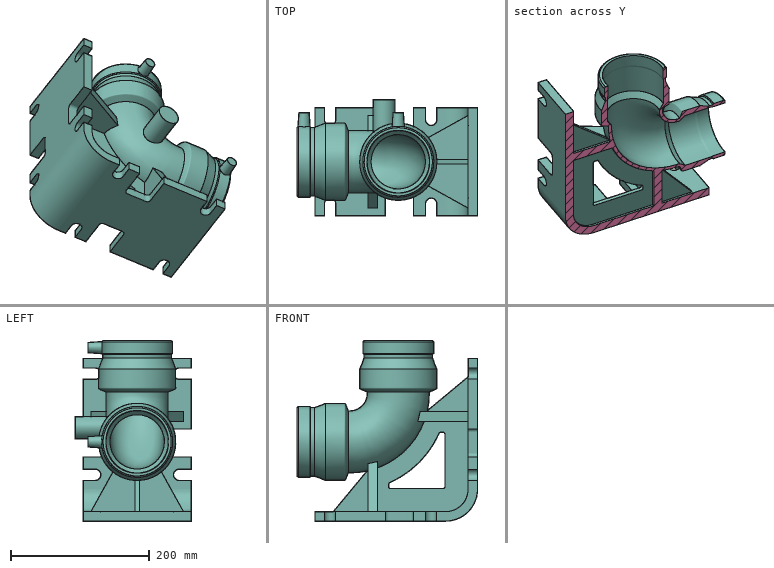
import cadquery as cq
import math

MIRROR_NORMAL = cq.Vector(1, 0, 1)

LEG_LENGTH = 235.8
FOOT_WIDTH = 157.0
PLATE = 14.0
BEND_RADIUS = 46.6
SLOT_WIDTH = 16.0
SLOT_DEPTH = 25.7
SLOT_DISTANCES = (67.3, 213.8)
NOTCH_NEAR = 93.3
NOTCH_FAR = 133.5
NOTCH_DEPTH = 44.0
NOTCH_FILLET = 5.0

OVERALL = 262.0
AXIS_HEIGHT = 115.0
ELBOW_RADIUS = 70.0
PIPE_DIAMETER = 90.0
BORE_DIAMETER = 78.5
ELBOW_CENTER = AXIS_HEIGHT + ELBOW_RADIUS
ELBOW_END = OVERALL - ELBOW_CENTER

LIP_DIAMETER = 103.0
LIP_CHAMFER = 2.0
LIP_LENGTH = 18.9
NECK_DIAMETER = 99.8
NECK_START = 20.2
NECK_END = 25.7
COLLAR_DIAMETER = 112.0
COLLAR_START = 41.5
COLLAR_END = 70.2
COLLAR_FILLET = 2.0
SOCKET_LENGTH = 74.7
MOUTH_DIAMETER = 90.0
MOUTH_DEPTH = LIP_LENGTH
THROAT_DIAMETER = 91.7
THROAT_START = 22.0
THROAT_END = 65.5

WEB_THICKNESS = 6.0
WEB_FOOT = 209.3
WEB_EDGE_RATIO = 0.83
WINDOW_MARGIN = 47.7
WINDOW_END = 128.6
WINDOW_ARC_RADIUS = 141.5
WINDOW_FILLET = 1.96
RIB_NEAR = 145.0
RIB_THICKNESS = 14.0
RIB_FOOT_WIDTH = 134.1
RIB_SIDE_ANGLE = 29.0

BOSS_DIAMETER = 32.0
BOSS_REACH = 89.9
NOZZLE_TIP_DIAMETER = 15.2
NOZZLE_ROOT_DIAMETER = 18.0
NOZZLE_REACH = 71.3
NOZZLE_TAPER_START = 49.8
NOZZLE_INSET = 10.5


def with_mirror(arm):
    return arm.union(arm.mirror(MIRROR_NORMAL, (0, 0, 0)))


def slab(outline, thickness):
    """Extrude an outline in the XZ plane, centred on Y = 0."""
    return outline.extrude(thickness / 2, both=True)


def torus_quarter(diameter):
    """Quarter bend that joins the horizontal arm to the upright one."""
    return (
        cq.Workplane("YZ", origin=(-ELBOW_CENTER, 0, AXIS_HEIGHT))
        .circle(diameter / 2)
        .revolve(90, (2.5, ELBOW_RADIUS), (-2.5, ELBOW_RADIUS))
    )


def turned(profile_points):
    """Revolve (distance from mouth, radius) points about the axis of the -X socket."""
    return (
        cq.Workplane("XY", origin=(-OVERALL, 0, AXIS_HEIGHT))
        .polyline(profile_points)
        .close()
        .revolve(360, (0, 0), (1, 0))
    )


def foot_edge_cuts():
    """Slots and notches cut into both long edges of the lower leg."""
    edge = FOOT_WIDTH / 2
    notch_width = NOTCH_FAR - NOTCH_NEAR
    cuts = (
        cq.Workplane("XY")
        .center(-(NOTCH_NEAR + NOTCH_FAR) / 2, edge)
        .rect(notch_width, 2 * NOTCH_DEPTH)
        .extrude(PLATE)
        .edges("|Z")
        .fillet(NOTCH_FILLET)
    )
    for distance in SLOT_DISTANCES:
        slot = (
            cq.Workplane("XY")
            .center(-distance, edge)
            .slot2D(2 * SLOT_DEPTH, SLOT_WIDTH, 90)
            .extrude(PLATE)
        )
        cuts = cuts.union(slot)
    return cuts.union(cuts.mirror("XZ"))


def foot():
    """L-shaped foot with a rounded bend, slots and notches."""
    outline = (
        cq.Workplane("XZ")
        .moveTo(-LEG_LENGTH, 0)
        .lineTo(0, 0)
        .lineTo(0, LEG_LENGTH)
        .lineTo(-PLATE, LEG_LENGTH)
        .lineTo(-PLATE, PLATE)
        .lineTo(-LEG_LENGTH, PLATE)
        .close()
    )
    body = slab(outline, FOOT_WIDTH)
    body = body.edges("|Y and >X and <Z").fillet(BEND_RADIUS)
    inner_corner = cq.selectors.NearestToPointSelector((-PLATE, 0, PLATE))
    body = body.edges("|Y").edges(inner_corner).fillet(BEND_RADIUS - PLATE)
    return body.cut(with_mirror(foot_edge_cuts()))


def web():
    """Plate in the plane Y = 0 between the foot and the elbow."""
    top_x = WEB_FOOT - WEB_EDGE_RATIO * AXIS_HEIGHT + WEB_EDGE_RATIO * PLATE
    outline = (
        cq.Workplane("XZ")
        .moveTo(-PLATE, PLATE)
        .lineTo(-WEB_FOOT, PLATE)
        .lineTo(-top_x, AXIS_HEIGHT)
        .lineTo(-AXIS_HEIGHT, top_x)
        .lineTo(-PLATE, WEB_FOOT)
        .close()
    )
    return slab(outline, WEB_THICKNESS)


def window():
    """Opening in the web, with one side concentric with the elbow."""
    arc_reach = ELBOW_CENTER - math.sqrt(WINDOW_ARC_RADIUS**2 - (ELBOW_CENTER - WINDOW_END) ** 2)
    arc_middle = ELBOW_CENTER - WINDOW_ARC_RADIUS / math.sqrt(2)
    outline = (
        cq.Workplane("XZ")
        .moveTo(-WINDOW_MARGIN, WINDOW_MARGIN)
        .lineTo(-WINDOW_END, WINDOW_MARGIN)
        .lineTo(-WINDOW_END, arc_reach)
        .threePointArc((-arc_middle, arc_middle), (-arc_reach, WINDOW_END))
        .lineTo(-WINDOW_MARGIN, WINDOW_END)
        .close()
    )
    return slab(outline, WEB_THICKNESS).edges("|Y").fillet(WINDOW_FILLET)


def rib():
    """Tapered cross rib standing on the lower leg and running into the elbow."""
    foot_half = RIB_FOOT_WIDTH / 2
    top_half = foot_half - (AXIS_HEIGHT - PLATE) * math.tan(math.radians(RIB_SIDE_ANGLE))
    return (
        cq.Workplane("YZ", origin=(-RIB_NEAR - RIB_THICKNESS, 0, 0))
        .polyline(
            [
                (-foot_half, PLATE),
                (foot_half, PLATE),
                (top_half, AXIS_HEIGHT),
                (-top_half, AXIS_HEIGHT),
            ]
        )
        .close()
        .extrude(RIB_THICKNESS)
    )


def socket():
    """Outside of the -X socket: lip, neck, collar and a short length of pipe."""
    body = turned(
        [
            (0, 0),
            (0, LIP_DIAMETER / 2 - LIP_CHAMFER),
            (LIP_CHAMFER, LIP_DIAMETER / 2),
            (LIP_LENGTH, LIP_DIAMETER / 2),
            (NECK_START, NECK_DIAMETER / 2),
            (NECK_END, NECK_DIAMETER / 2),
            (COLLAR_START, COLLAR_DIAMETER / 2),
            (COLLAR_END, COLLAR_DIAMETER / 2),
            (SOCKET_LENGTH, PIPE_DIAMETER / 2),
            (ELBOW_END, PIPE_DIAMETER / 2),
            (ELBOW_END, 0),
        ]
    )
    collar_back = cq.selectors.NearestToPointSelector((COLLAR_END - OVERALL, 0, AXIS_HEIGHT))
    return body.edges("%CIRCLE").edges(collar_back).fillet(COLLAR_FILLET)


def socket_bore():
    """Inside of the -X socket: mouth, wider throat, and a cone down to the pipe bore."""
    return turned(
        [
            (0, 0),
            (0, MOUTH_DIAMETER / 2),
            (MOUTH_DEPTH, MOUTH_DIAMETER / 2),
            (THROAT_START, THROAT_DIAMETER / 2),
            (THROAT_END, THROAT_DIAMETER / 2),
            (SOCKET_LENGTH, BORE_DIAMETER / 2),
            (ELBOW_END, BORE_DIAMETER / 2),
            (ELBOW_END, 0),
        ]
    )


def nozzle():
    """Tapered nozzle on the lip of the -X socket."""
    return (
        cq.Workplane("XY", origin=(NOZZLE_INSET - OVERALL, 0, AXIS_HEIGHT))
        .polyline(
            [
                (0, BORE_DIAMETER / 2),
                (NOZZLE_ROOT_DIAMETER / 2, BORE_DIAMETER / 2),
                (NOZZLE_ROOT_DIAMETER / 2, NOZZLE_TAPER_START),
                (NOZZLE_TIP_DIAMETER / 2, NOZZLE_REACH),
                (0, NOZZLE_REACH),
            ]
        )
        .close()
        .revolve(360, (0, 0), (0, 1))
    )


def side_boss():
    """Round boss on the flank of the elbow, centred on the middle of the bend."""
    offset = ELBOW_CENTER - ELBOW_RADIUS / math.sqrt(2)
    return (
        cq.Workplane("XZ", origin=(-offset, 0, offset))
        .circle(BOSS_DIAMETER / 2)
        .extrude(-BOSS_REACH)
    )


arm = socket().union(nozzle()).union(rib())
bore = with_mirror(socket_bore()).union(torus_quarter(BORE_DIAMETER))

result = (
    foot()
    .union(web().cut(window()))
    .union(with_mirror(arm))
    .union(torus_quarter(PIPE_DIAMETER))
    .union(side_boss())
    .cut(bore)
)